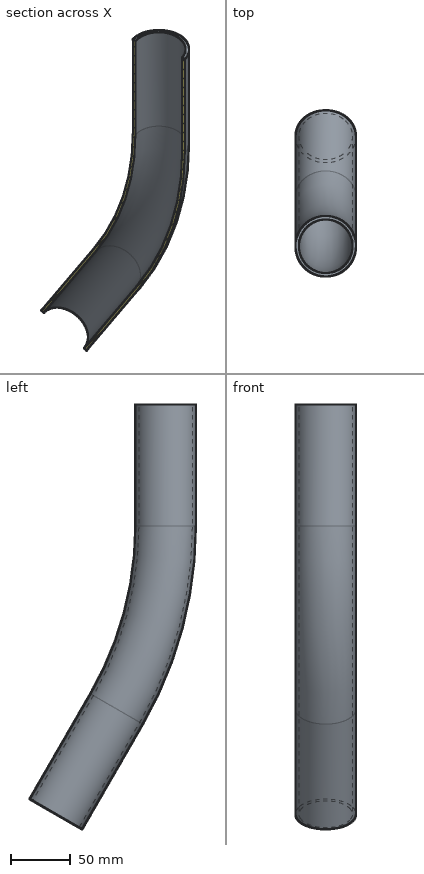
import cadquery as cq
import math

total_height = 354.7
outer_diameter = 50.7
inner_diameter = 44.7
leg_length = 101.5
bend_angle = 30.0

sin_bend = math.sin(math.radians(bend_angle))
cos_bend = math.cos(math.radians(bend_angle))
rim_drop = outer_diameter / 2 * sin_bend
bend_height = total_height - leg_length * (1 + cos_bend) - rim_drop
bend_radius = bend_height / sin_bend


def ring(plane):
    """Annular pipe section at the origin of the given plane."""
    return cq.Workplane(plane).circle(outer_diameter / 2).circle(inner_diameter / 2)


upper_leg = ring("XY").extrude(leg_length)

bend = ring("XY").revolve(bend_angle, (0, bend_radius, 0), (1, bend_radius, 0))

bend_end = cq.Plane(
    origin=(0, bend_radius * (1 - cos_bend), -bend_height),
    xDir=(1, 0, 0),
    normal=(0, sin_bend, -cos_bend),
)
lower_leg = ring(bend_end).extrude(leg_length)

result = upper_leg.union(bend).union(lower_leg)